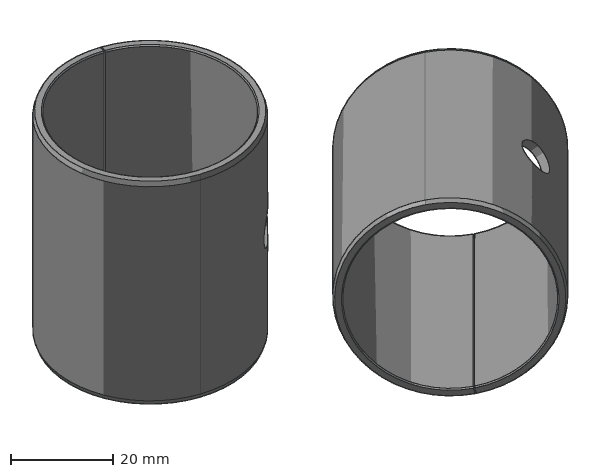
import cadquery as cq
import math

length = 55.0
outer_diameter = 46.0
wall = 2.0
outer_radius = outer_diameter / 2
inner_radius = outer_radius - wall

outer_chamfer_height = 1.1
outer_chamfer_depth = 0.4
inner_chamfer = 0.3

seam_width = 0.3

hole_diameter = 8.0
hole_angle = 60.0
hole_height = length / 2


def bushing_body():
    """Revolve the chamfered wall section about the Z axis."""
    section = [
        (inner_radius, inner_chamfer),
        (inner_radius + inner_chamfer, 0),
        (outer_radius - outer_chamfer_depth, 0),
        (outer_radius, outer_chamfer_height),
        (outer_radius, length - outer_chamfer_height),
        (outer_radius - outer_chamfer_depth, length),
        (inner_radius + inner_chamfer, length),
        (inner_radius, length - inner_chamfer),
    ]
    return cq.Workplane("XZ").polyline(section).close().revolve(360, (0, 0), (0, 1))


def seam_cutter():
    """Thin full-length slab that splits the wall on the -X side."""
    slab = cq.Workplane("XY").box(outer_diameter, seam_width, length, centered=(True, False, False))
    return slab.translate((-outer_radius, 0, 0))


def oil_hole_cutter():
    """Radial cylinder that pierces one side of the wall only."""
    angle = math.radians(hole_angle)
    direction = cq.Vector(math.cos(angle), math.sin(angle), 0)
    plane = cq.Plane(origin=(0, 0, hole_height), xDir=(0, 0, 1), normal=direction)
    return cq.Workplane(plane).circle(hole_diameter / 2).extrude(outer_diameter)


result = bushing_body().cut(seam_cutter()).cut(oil_hole_cutter())